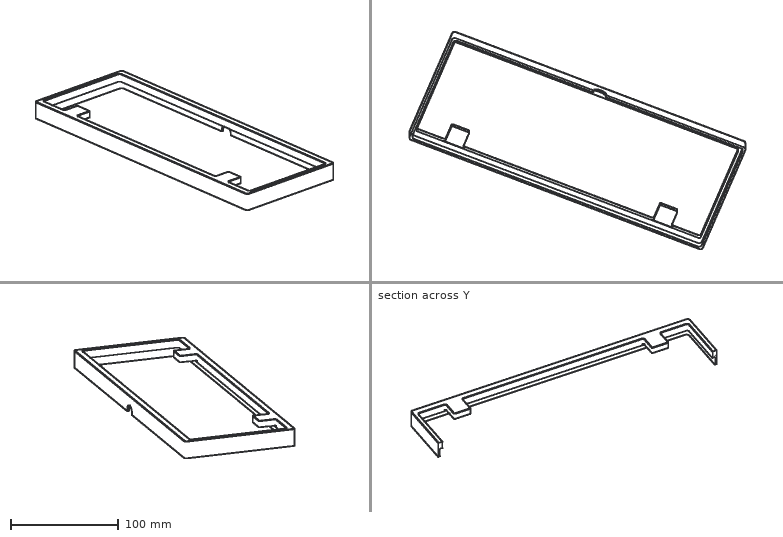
import cadquery as cq

LENGTH = 295.7
WIDTH = 110.2
HEIGHT = 16.91
CORNER_RADIUS = 2.5
TOP_CHAMFER = 0.5

SIDE_BEZEL = 4.6
LONG_BEZEL = 6.95
OPENING_RADIUS = 1.5

POCKET_HEIGHT = 9.0
SKIRT_WALL = 2.0
POCKET_RADIUS = 3.0

TAB_WIDTH = 17.7
TAB_REACH = 16.6
TAB_THICKNESS = 6.5
TAB_SPACING = 210.0
TAB_TIP_RADIUS = 1.0
TAB_ROOT_RADIUS = 1.5

NOTCH_X = -0.6
NOTCH_WIDTH = 12.6
NOTCH_HEIGHT = 7.5

back_y = WIDTH / 2
opening_front_y = LONG_BEZEL - WIDTH / 2


def rounded_block(length, width, height, radius):
    block = cq.Workplane("XY").box(length, width, height, centered=(True, True, False))
    return block.edges("|Z").fillet(radius)


def make_frame():
    frame = rounded_block(LENGTH, WIDTH, HEIGHT, CORNER_RADIUS)
    opening = rounded_block(
        LENGTH - 2 * SIDE_BEZEL,
        WIDTH - 2 * LONG_BEZEL,
        HEIGHT,
        OPENING_RADIUS,
    )
    pocket = rounded_block(
        LENGTH - 2 * SKIRT_WALL,
        WIDTH - 2 * SKIRT_WALL,
        POCKET_HEIGHT,
        POCKET_RADIUS,
    )
    return frame.cut(opening).cut(pocket)


def make_tab(center_x):
    """Tab with rounded free corners and fillets where it meets the bezel."""
    half = TAB_WIDTH / 2
    tip = TAB_TIP_RADIUS
    root = TAB_ROOT_RADIUS
    root_y = opening_front_y
    tip_y = root_y + TAB_REACH
    buried_y = root_y - LONG_BEZEL / 2
    outline = (
        cq.Workplane("XY", origin=(center_x, 0, HEIGHT - TAB_THICKNESS))
        .moveTo(-half - root, buried_y)
        .lineTo(-half - root, root_y)
        .radiusArc((-half, root_y + root), -root)
        .lineTo(-half, tip_y - tip)
        .radiusArc((-half + tip, tip_y), tip)
        .lineTo(half - tip, tip_y)
        .radiusArc((half, tip_y - tip), tip)
        .lineTo(half, root_y + root)
        .radiusArc((half + root, root_y), -root)
        .lineTo(half + root, buried_y)
        .close()
    )
    return outline.extrude(TAB_THICKNESS)


def make_notch():
    radius = NOTCH_WIDTH / 2
    spring_z = NOTCH_HEIGHT - radius
    outline = (
        cq.Workplane("XZ", origin=(NOTCH_X, back_y, 0))
        .moveTo(-radius, 0)
        .lineTo(-radius, spring_z)
        .threePointArc((0, NOTCH_HEIGHT), (radius, spring_z))
        .lineTo(radius, 0)
        .close()
    )
    return outline.extrude(SKIRT_WALL)


body = make_frame()
for side in (-1, 1):
    body = body.union(make_tab(side * TAB_SPACING / 2))
body = body.cut(make_notch())
result = body.faces(">Z").edges().chamfer(TOP_CHAMFER)